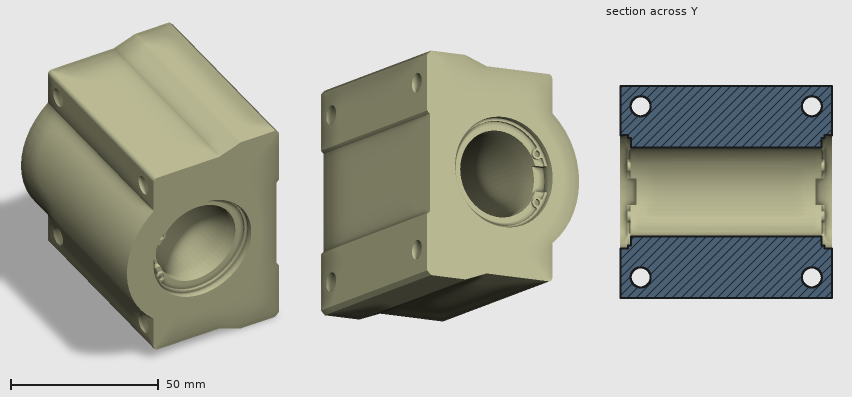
import cadquery as cq
import math


LENGTH = 72.0
HEIGHT = 78.0
BARREL_RADIUS = 29.5
BASE_Y = 30.0
FLANGE_Y = -19.0
FLANGE_HEIGHT = 72.0
TAPER_REAR_Y = 15.0
TAPER_ANGLE = 20.0
BASE_CHAMFER = 1.5
FLANGE_FILLET = 1.5
RELIEF_WIDTH = 34.0
RELIEF_DEPTH = 1.0

MOUNT_HOLE_DIAMETER = 6.65
MOUNT_HOLE_PITCH = 58.0

BORE_DIAMETER = 30.0
SEAT_DIAMETER = 38.25
RING_RECESS = 2.6
RING_THICKNESS = 1.0
RING_BAND = 1.0
EAR_RADIUS = 1.8
EAR_HOLE_DIAMETER = 2.29
EAR_CENTRE_RADIUS = 16.85
EAR_ANGLE = 30.0
EAR_FILLET = 0.6
GAP_WIDTH = 9.0
GAP_DEPTH = 2.0

BUSH_RECESS = RING_RECESS + RING_THICKNESS
SEAT_RADIUS = SEAT_DIAMETER / 2
END_X = -LENGTH / 2
RING_X = END_X + RING_RECESS
BUSH_X = END_X + BUSH_RECESS


def cylinder_along_x(start_x, length, radius, y=0.0, z=0.0):
    return cq.Workplane("YZ", origin=(start_x, y, z)).circle(radius).extrude(length)


def make_housing():
    half_height = HEIGHT / 2
    half_flange = FLANGE_HEIGHT / 2
    half_relief = RELIEF_WIDTH / 2
    taper_length = (half_height - half_flange) / math.tan(math.radians(TAPER_ANGLE))
    barrel_z = math.sqrt(BARREL_RADIUS**2 - FLANGE_Y**2)
    upper_outline = [
        (BASE_Y - RELIEF_DEPTH, half_relief),
        (BASE_Y, half_relief + RELIEF_DEPTH),
        (BASE_Y, half_height - BASE_CHAMFER),
        (BASE_Y - BASE_CHAMFER, half_height),
        (TAPER_REAR_Y, half_height),
        (TAPER_REAR_Y - taper_length, half_flange),
        (FLANGE_Y, half_flange),
        (FLANGE_Y, barrel_z),
    ]
    lower_outline = [(y, -z) for y, z in reversed(upper_outline)]
    body = (
        cq.Workplane("YZ", origin=(END_X, 0, 0))
        .polyline(upper_outline)
        .threePointArc((-BARREL_RADIUS, 0), lower_outline[0])
        .polyline(lower_outline[1:], includeCurrent=True)
        .close()
        .extrude(LENGTH)
    )
    for side in (1, -1):
        corner = cq.selectors.NearestToPointSelector((0, FLANGE_Y, side * half_flange))
        body = body.edges("|X").edges(corner).fillet(FLANGE_FILLET)
    return body


def make_mounting_holes():
    return (
        cq.Workplane("XZ", origin=(0, BASE_Y, 0))
        .rarray(MOUNT_HOLE_PITCH, MOUNT_HOLE_PITCH, 2, 2)
        .circle(MOUNT_HOLE_DIAMETER / 2)
        .extrude(BASE_Y - FLANGE_Y)
    )


def make_gap(start_x, length):
    """Slot between the bore and the seat on the -Y side."""
    slot = cq.Workplane("XY").box(length, SEAT_RADIUS, GAP_WIDTH, centered=(False, False, True))
    slot = slot.translate((start_x, -SEAT_RADIUS, 0))
    return slot.intersect(cylinder_along_x(start_x, length, SEAT_RADIUS))


def make_ring():
    """Retaining ring for the -X end, with an eared gap facing -Y."""
    band_radius = SEAT_RADIUS - RING_BAND
    ear_y = -EAR_CENTRE_RADIUS * math.cos(math.radians(EAR_ANGLE))
    ear_z = EAR_CENTRE_RADIUS * math.sin(math.radians(EAR_ANGLE))
    ring = cylinder_along_x(RING_X, RING_THICKNESS, SEAT_RADIUS)
    ring = ring.cut(cylinder_along_x(RING_X, RING_THICKNESS, band_radius))
    ring = ring.cut(make_gap(RING_X, RING_THICKNESS))
    for side in (1, -1):
        ring = ring.union(cylinder_along_x(RING_X, RING_THICKNESS, EAR_RADIUS, ear_y, side * ear_z))

    squares = band_radius**2 + EAR_CENTRE_RADIUS**2 - EAR_RADIUS**2
    corner_offset = math.acos(squares / (2 * band_radius * EAR_CENTRE_RADIUS))
    for side in (1, -1):
        for direction in (1, -1):
            angle = math.radians(EAR_ANGLE) + direction * corner_offset
            corner_y = -band_radius * math.cos(angle)
            corner_z = side * band_radius * math.sin(angle)
            middle_x = RING_X + RING_THICKNESS / 2
            corner = cq.selectors.NearestToPointSelector((middle_x, corner_y, corner_z))
            ring = ring.edges("|X").edges(corner).fillet(EAR_FILLET)
        hole = cylinder_along_x(RING_X, RING_THICKNESS, EAR_HOLE_DIAMETER / 2, ear_y, side * ear_z)
        ring = ring.cut(hole)
    return ring


def on_both_ends(shape):
    return shape, shape.mirror("YZ")


result = make_housing().cut(make_mounting_holes())
result = result.cut(cylinder_along_x(END_X, LENGTH, BORE_DIAMETER / 2))
for seat in on_both_ends(cylinder_along_x(END_X, BUSH_RECESS, SEAT_RADIUS)):
    result = result.cut(seat)
for gap in on_both_ends(make_gap(BUSH_X, GAP_DEPTH)):
    result = result.cut(gap)
for ring in on_both_ends(make_ring()):
    result = result.union(ring)